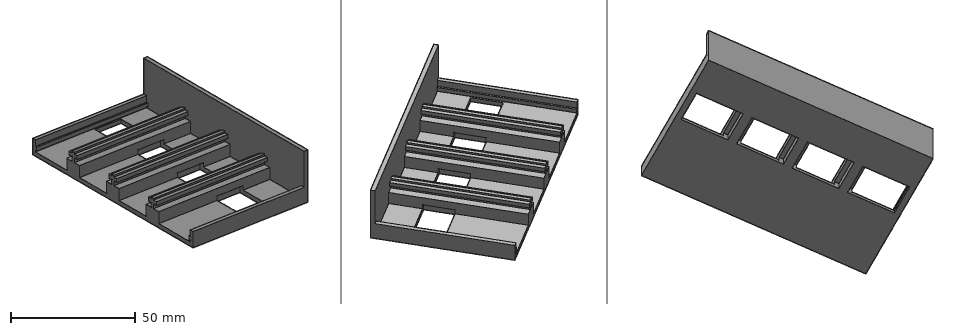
import cadquery as cq

LENGTH = 101.2
DEPTH = 60.0
HEIGHT = 24.0

FLOOR_THICKNESS = 2.0
BACK_THICKNESS = 2.0
SIDE_THICKNESS = 1.8
LEDGE_HEIGHT = 7.5

BEAD_PROJECTION = 0.8
BEAD_BOTTOM = 2.7
BEAD_HEIGHT = 1.8

DIVIDER_COUNT = 3
DIVIDER_PITCH = 25.0
BASE_WIDTH = 8.0
NECK_WIDTH = 1.5
RAIL_TOP = 12.2
ARM_SPAN = 5
ARM_BOTTOM = 9.6
ARM_HEIGHT = 1.8

WINDOW_WIDTH = 21.0
WINDOW_HEIGHT = 4.0
WINDOW_BACK_OFFSET = 16.0
WINDOW_DEPTH = 13.5

HALF_LENGTH = LENGTH / 2
FRONT_DEPTH = DEPTH - BACK_THICKNESS
INNER_HALF_LENGTH = HALF_LENGTH - SIDE_THICKNESS
WINDOW_FRONT = DEPTH - WINDOW_BACK_OFFSET - WINDOW_DEPTH


def evenly_spaced(count):
    """Places along X, one divider pitch apart and centred on the part."""
    return [(index - (count - 1) / 2) * DIVIDER_PITCH for index in range(count)]


DIVIDER_CENTRES = evenly_spaced(DIVIDER_COUNT)
BAY_CENTRES = evenly_spaced(DIVIDER_COUNT + 1)


def block(x_min, x_max, y_min, y_max, z_min, z_max):
    """Axis-aligned box given by its limits."""
    size = (x_max - x_min, y_max - y_min, z_max - z_min)
    return cq.Workplane("XY").box(*size, centered=False).translate((x_min, y_min, z_min))


def centred_bar(x_centre, width, z_min, z_max):
    """Bar running from the front edge to the back wall."""
    half_width = width / 2
    return block(x_centre - half_width, x_centre + half_width, 0, FRONT_DEPTH, z_min, z_max)


def shell():
    """Floor plate with the tall back wall."""
    floor = block(-HALF_LENGTH, HALF_LENGTH, 0, DEPTH, 0, FLOOR_THICKNESS)
    back = block(-HALF_LENGTH, HALF_LENGTH, FRONT_DEPTH, DEPTH, 0, HEIGHT)
    return floor.union(back)


def left_side():
    """Low side wall with its snap bead, at the -X end."""
    wall = block(-HALF_LENGTH, -INNER_HALF_LENGTH, 0, FRONT_DEPTH, 0, LEDGE_HEIGHT)
    bead_edge = -INNER_HALF_LENGTH + BEAD_PROJECTION
    bead = block(-HALF_LENGTH, bead_edge, 0, FRONT_DEPTH, BEAD_BOTTOM, BEAD_BOTTOM + BEAD_HEIGHT)
    return wall.union(bead)


def divider(x_centre):
    """Base block, upright neck and the cross arms of one divider."""
    base = centred_bar(x_centre, BASE_WIDTH, 0, LEDGE_HEIGHT)
    neck = centred_bar(x_centre, NECK_WIDTH, 0, RAIL_TOP)
    arms = centred_bar(x_centre, ARM_SPAN, ARM_BOTTOM, ARM_BOTTOM + ARM_HEIGHT)
    return base.union(neck).union(arms)


def window(x_centre):
    """Cutter for one floor opening, which also notches the base of the dividers beside it."""
    half_width = WINDOW_WIDTH / 2
    return block(
        x_centre - half_width,
        x_centre + half_width,
        WINDOW_FRONT,
        WINDOW_FRONT + WINDOW_DEPTH,
        0,
        WINDOW_HEIGHT,
    )


result = shell()
for centre in DIVIDER_CENTRES:
    result = result.union(divider(centre))
for centre in BAY_CENTRES:
    result = result.cut(window(centre))
result = result.union(left_side()).union(left_side().mirror("YZ"))